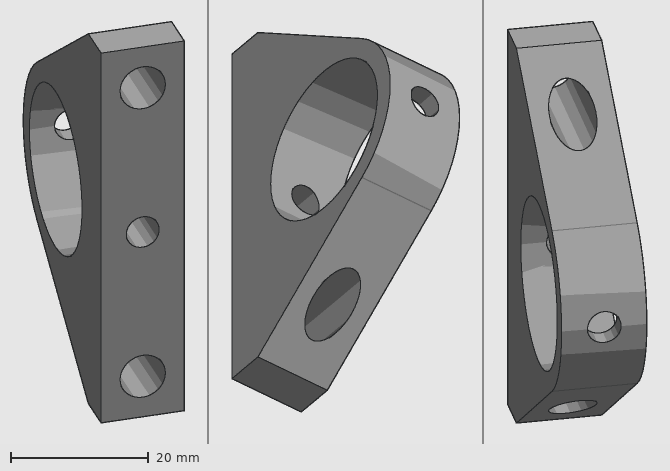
import cadquery as cq
import math

height = 60.95
length = 38.1
thickness = 12.7
end_flat = 6.3

ring_radius = 15.9
bore_diameter = 25.65

mount_hole_diameter = 6.9
mount_hole_offset = 23.8
center_hole_diameter = 5.0

base_x = length - ring_radius
shoulder_x = base_x - end_flat
half_height = height / 2

corner_distance = math.hypot(shoulder_x, half_height)
tangent_angle = math.atan2(half_height, shoulder_x) + math.acos(ring_radius / corner_distance)
tangent_x = ring_radius * math.cos(tangent_angle)
tangent_z = ring_radius * math.sin(tangent_angle)


def make_body():
    outline = (
        cq.Workplane("XZ")
        .moveTo(base_x, -half_height)
        .lineTo(base_x, half_height)
        .lineTo(shoulder_x, half_height)
        .lineTo(tangent_x, tangent_z)
        .threePointArc((-ring_radius, 0), (tangent_x, -tangent_z))
        .lineTo(shoulder_x, -half_height)
        .close()
    )
    return outline.extrude(thickness / 2, both=True)


def make_bore():
    return cq.Workplane("XZ").circle(bore_diameter / 2).extrude(thickness / 2, both=True)


def make_cross_hole(diameter, z):
    """Cylinder along X passing through the full length of the part."""
    return cq.Workplane("YZ", origin=(-ring_radius, 0, z)).circle(diameter / 2).extrude(length)


result = make_body().cut(make_bore())
result = result.cut(make_cross_hole(center_hole_diameter, 0))
for side in (-1, 1):
    result = result.cut(make_cross_hole(mount_hole_diameter, side * mount_hole_offset))